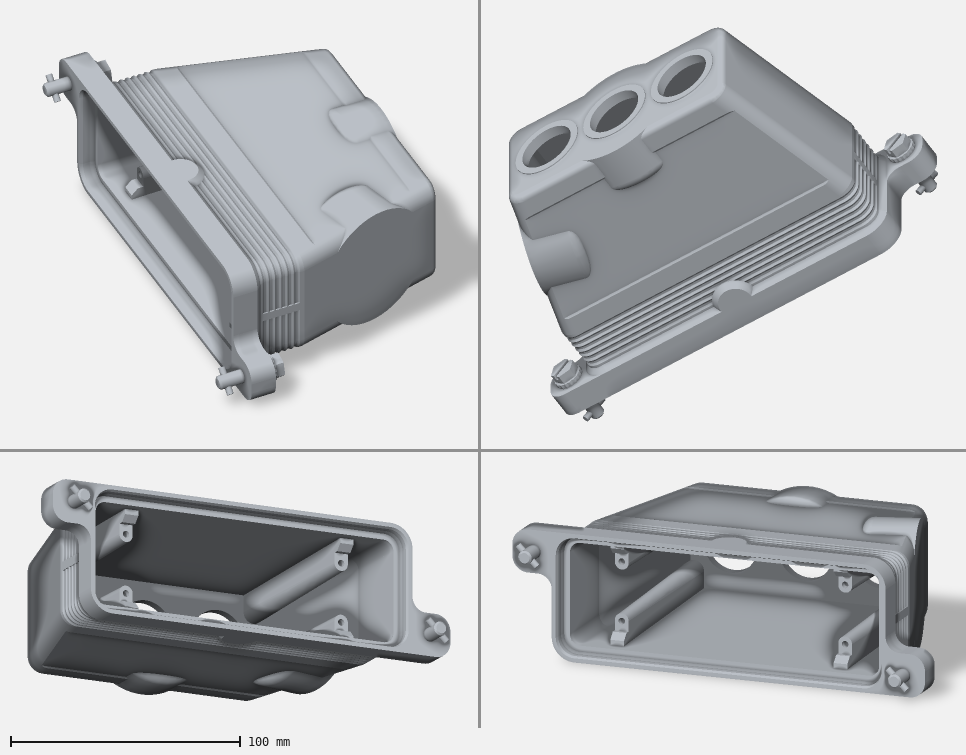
import cadquery as cq
import math


flange_half_x = 77.9
flange_half_z = 29.0
flange_corner_r = 10.5
flange_depth = 11.7
ear_tip_x = 96.25
ear_height = 19.5
ear_corner_r = 7.2
ear_inner_r = 6.5

body_step = 2.6
body_half_x = flange_half_x - body_step
body_half_z = flange_half_z - body_step
body_corner_r = 7.3
body_start_y = flange_depth + body_step
shoulder_y = 35.6
back_y = 109.35
end_wall_angle = 15.0
end_wall_slope = math.tan(math.radians(end_wall_angle))
back_half_x = body_half_x - (back_y - shoulder_y) * end_wall_slope
back_edge_r = 3.0

panel_depth = 0.6
panel_start_y = 43.0
panel_end_y = 98.3
panel_edge_run = 1.0

groove_count = 6
groove_pitch = 3.03
groove_first_y = 16.9
groove_mouth = 2.9
groove_floor = 1.0
groove_depth = 0.7
end_web_half_z = 2.0

mouth_inset = 1.9
throat_inset = 2.5
seat_inset = 3.1
cavity_inset = 5.8
mouth_taper_y = 1.6
throat_end_y = 4.8
seat_y = 7.1
cavity_half_x = flange_half_x - cavity_inset
cavity_half_z = flange_half_z - cavity_inset
cavity_corner_r = flange_corner_r - cavity_inset
cavity_shoulder_y = 38.8
cavity_shoulder_half_x = 70.7
cavity_back_y = 105.0
cavity_back_half_x = 53.7
cavity_back_half_z = 20.7
gasket_thickness = 4.0
gasket_root_inset = 4.8

entry_d = 25.0
entry_pitch = 35.0
entry_count = 3
entry_pad_r = 16.0
entry_pad_height = 0.5
entry_boss_r = flange_half_z
entry_boss_depth = 22.5
entry_boss_edge_r = 5.0
side_boss_y = 74.9
side_boss_depth = 25.0

nose_y = 12.3
nose_r = 7.7

lug_x = 52.1
lug_face_y = 17.9
lug_center_z = 13.1
lug_half_width = 3.2
lug_draft_angle = 1.0
lug_hole_z = 13.4
lug_hole_d = 3.0
lug_hole_depth = 10.0
toe_root_z = 17.8
toe_knee_z = 17.8
toe_tip_z = 20.7
toe_knee_y = 15.3
toe_tip_y = 12.3

screw_x = 86.2
screw_z = flange_half_z - ear_height / 2
shank_d = 6.3
shank_tip_y = -11.6
shank_tip_chamfer = 0.8
cross_pin_d = 3.0
cross_pin_length = 12.5
cross_pin_y = -7.6
cross_pin_angle = 135.0
washer_r = 6.7
washer_height = 2.3
tooth_count = 18
tooth_depth = 0.4
head_across_corners = 11.75
head_height = 4.3
head_turn = 45.0
slot_width = 1.8
slot_depth = 2.1

beyond = 10.0


def xz_plane(y):
    """Workplane at depth y whose local axes are X and Z; extruding goes toward -Y."""
    return cq.Workplane("XZ", origin=(0, y, 0))


def rounded_block(y_start, y_end, half_x, half_z, radius):
    """Prism with a rounded rectangular section between two depths."""
    block = xz_plane(y_end).rect(2 * half_x, 2 * half_z).extrude(y_end - y_start)
    return block.edges("|Y").fillet(radius)


def rounded_wire(y, half_x, half_z, radius):
    """Rounded rectangle lying in the plane at depth y."""
    return rounded_block(y - 1, y, half_x, half_z, radius).faces(">Y").wires().val()


def tapered_block(*sections):
    """Straight-sided block through rounded rectangles given as (y, half_x, half_z, radius)."""
    wires = [rounded_wire(*section) for section in sections]
    return cq.Workplane(cq.Solid.makeLoft(wires, True))


def flange_section(y, inset):
    """Section parallel to the flange edge, for tapered_block."""
    return y, flange_half_x - inset, flange_half_z - inset, flange_corner_r - inset


def y_cylinder(x, z, y_start, y_end, radius):
    return xz_plane(y_end).center(x, z).circle(radius).extrude(y_end - y_start)


def make_flange():
    """Rounded frame with two diagonally opposite ears, plus its 45 degree rear slope."""
    plate = rounded_block(0, flange_depth, flange_half_x, flange_half_z, flange_corner_r)
    ear_edge_z = flange_half_z - ear_height
    for turn in (0, 180):
        ear = (
            xz_plane(flange_depth)
            .moveTo(0, flange_half_z)
            .lineTo(-ear_tip_x, flange_half_z)
            .lineTo(-ear_tip_x, ear_edge_z)
            .lineTo(-flange_half_x, ear_edge_z)
            .lineTo(-flange_half_x, 0)
            .lineTo(0, 0)
            .close()
            .extrude(flange_depth)
        )
        ear = ear.edges("|Y and <X").fillet(ear_corner_r)
        inner_corner = cq.selectors.NearestToPointSelector((-flange_half_x, flange_depth / 2, ear_edge_z))
        ear = ear.edges(inner_corner).fillet(ear_inner_r)
        plate = plate.union(ear.rotate((0, 0, 0), (0, 1, 0), turn))
    slope = tapered_block(
        flange_section(flange_depth, 0),
        flange_section(body_start_y, body_step),
    )
    return plate.union(slope)


def hood_prism(outline, half_z):
    """Prism symmetric about X = 0 and Z = 0 from its (half_x, y) points, front to back."""
    points = outline + [(-x, y) for x, y in reversed(outline)]
    return cq.Workplane().polyline(points).close().extrude(half_z, both=True)


def round_long_edges(block, radius):
    """Round the edges between the broad faces and the end walls."""
    return block.edges("not (|X or |Z)").fillet(radius)


def make_shell():
    """Outer shell: straight at the grip, then narrowing along X to the back."""
    outline = [
        (body_half_x, flange_depth),
        (body_half_x, shoulder_y),
        (back_half_x, back_y),
    ]
    shell = round_long_edges(hood_prism(outline, body_half_z), body_corner_r)
    return shell.faces(">Y").edges().fillet(back_edge_r)


def make_panel_cut(side):
    """Shallow panel with sloping ends, cut right across one broad face (side is +1 or -1)."""
    floor_z = side * (body_half_z - panel_depth)
    top_z = side * body_half_z
    profile = [
        (panel_start_y, top_z),
        (panel_start_y + panel_edge_run, floor_z),
        (panel_end_y - panel_edge_run, floor_z),
        (panel_end_y, top_z),
    ]
    return cq.Workplane("YZ").polyline(profile).close().extrude(body_half_x, both=True)


def make_groove(y):
    """V-flanked ring around the shell, interrupted by the web on each end wall."""
    half_mouth = groove_mouth / 2
    half_floor = groove_floor / 2
    floor = (body_half_x - groove_depth, body_half_z - groove_depth, body_corner_r - groove_depth)
    crest = (body_half_x, body_half_z, body_corner_r)
    ring = rounded_block(y - half_mouth, y + half_mouth, flange_half_x, flange_half_z, flange_corner_r)
    core = tapered_block(
        (y - half_mouth, *crest),
        (y - half_floor, *floor),
        (y + half_floor, *floor),
        (y + half_mouth, *crest),
    )
    web = cq.Workplane().box(2 * ear_tip_x, groove_pitch, 2 * end_web_half_z).translate((0, y, 0))
    return ring.cut(core).cut(web)


def make_entry_boss():
    """Round boss for the middle cable entry, swelling out of both broad faces."""
    inner_y = back_y - entry_boss_depth
    boss = y_cylinder(0, 0, inner_y, back_y, entry_boss_r)
    return boss.faces("<Y").edges().fillet(entry_boss_edge_r)


def make_side_boss():
    """Same boss standing square to the +X end wall and flush with it."""
    wall_x = body_half_x - (side_boss_y - shoulder_y) * end_wall_slope
    boss = cq.Workplane("YZ").circle(entry_boss_r).extrude(-side_boss_depth)
    boss = boss.faces("<X").edges().fillet(entry_boss_edge_r)
    return boss.rotate((0, 0, 0), (0, 0, 1), end_wall_angle).translate((wall_x, side_boss_y, 0))


def make_entry_pads():
    """Low round pads around the cable entries on the back face."""
    pads = cq.Workplane()
    for x in entry_positions():
        pads = pads.add(y_cylinder(x, 0, back_y - 1, back_y + entry_pad_height, entry_pad_r))
    return pads.combine()


def entry_positions():
    return [entry_pitch * (i - (entry_count - 1) / 2) for i in range(entry_count)]


def make_nose():
    """Cone-based round nose reaching from one broad face to the other."""
    half = cq.Workplane().circle(nose_r).extrude(flange_half_z)
    cone = cq.Solid.makeCone(nose_r + body_step, nose_r, body_step, cq.Vector(0, 0, body_half_z))
    half = half.union(cq.Workplane(cone))
    return half.union(half.mirror("XY")).translate((0, nose_y, 0))


def make_cavity():
    """Stepped and flared opening followed by the drafted interior."""
    opening = tapered_block(
        flange_section(0, mouth_inset),
        flange_section(mouth_taper_y, throat_inset),
        flange_section(throat_end_y, throat_inset),
        flange_section(seat_y, seat_inset),
    )
    outline = [
        (cavity_half_x, seat_y),
        (cavity_shoulder_half_x, cavity_shoulder_y),
        (cavity_back_half_x, cavity_back_y),
    ]
    draft_profile = [
        (seat_y, cavity_half_z),
        (cavity_back_y, cavity_back_half_z),
        (cavity_back_y, -cavity_back_half_z),
        (seat_y, -cavity_half_z),
    ]
    drafted = cq.Workplane("YZ").polyline(draft_profile).close().extrude(cavity_half_x, both=True)
    interior = hood_prism(outline, cavity_half_z).intersect(drafted)
    interior = round_long_edges(interior, cavity_corner_r)
    return opening.union(interior)


def make_gasket():
    """Ring filling a groove in the seat; its inner flank leans outward with depth."""
    end_y = seat_y + gasket_thickness
    ring = rounded_block(
        seat_y,
        end_y,
        flange_half_x - seat_inset,
        flange_half_z - seat_inset,
        flange_corner_r - seat_inset,
    )
    core = tapered_block(
        flange_section(seat_y, cavity_inset),
        flange_section(end_y, gasket_root_inset),
    )
    return ring.cut(core)


def make_lug():
    """Drafted half-round rib running to the back wall, with a sloping toe and a screw hole."""
    rib_length = cavity_back_y + 1 - lug_face_y
    root_z = -body_half_z
    rib = (
        cq.Workplane("XZ", origin=(0, lug_face_y, 0))
        .moveTo(-lug_half_width, root_z)
        .lineTo(lug_half_width, root_z)
        .lineTo(lug_half_width, -lug_center_z)
        .threePointArc((0, lug_half_width - lug_center_z), (-lug_half_width, -lug_center_z))
        .close()
        .extrude(-rib_length, taper=-lug_draft_angle)
    )
    toe_profile = [
        (lug_face_y, root_z),
        (toe_tip_y, root_z),
        (toe_tip_y, -toe_tip_z),
        (toe_knee_y, -toe_knee_z),
        (lug_face_y, -toe_root_z),
    ]
    toe = cq.Workplane("YZ").polyline(toe_profile).close().extrude(lug_half_width, both=True)
    hole = y_cylinder(0, -lug_hole_z, lug_face_y, lug_face_y + lug_hole_depth, lug_hole_d / 2)
    return rib.union(toe).cut(hole)


def make_housing(gasket):
    body = make_shell()
    for side in (1, -1):
        body = body.cut(make_panel_cut(side))
    for i in range(groove_count):
        body = body.cut(make_groove(groove_first_y + i * groove_pitch))
    body = body.union(make_flange()).union(make_nose())
    body = body.union(make_entry_boss()).union(make_side_boss()).union(make_entry_pads())
    cavity = make_cavity()
    body = body.cut(cavity).cut(gasket)

    lug_space = body.union(cavity)
    lug = make_lug()
    for x in (-lug_x, lug_x):
        for flip in (0, 180):
            placed = lug.rotate((0, 0, 0), (0, 1, 0), flip).translate((x, 0, 0))
            body = body.union(placed.intersect(lug_space))

    for x in entry_positions():
        body = body.cut(y_cylinder(x, 0, cavity_back_y - beyond, back_y + beyond, entry_d / 2))
    for side in (1, -1):
        body = body.cut(y_cylinder(-side * screw_x, side * screw_z, 0, flange_depth, shank_d / 2))
    return body


def make_washer():
    """Serrated collar under the screw head."""
    outline = []
    for i in range(2 * tooth_count):
        radius = washer_r - tooth_depth * (i % 2)
        angle = math.pi * i / tooth_count
        outline.append((radius * math.cos(angle), radius * math.sin(angle)))
    return xz_plane(flange_depth).polyline(outline).close().extrude(-washer_height)


def make_screw():
    """Quarter-turn screw on the Y axis: slotted hex head, serrated collar, shank and cross pin."""
    shank = y_cylinder(0, 0, shank_tip_y, flange_depth, shank_d / 2)
    shank = shank.faces("<Y").chamfer(shank_tip_chamfer)
    head_y = flange_depth + washer_height
    head_end_y = head_y + head_height
    head = xz_plane(head_y).transformed(rotate=(0, 0, head_turn)).polygon(6, head_across_corners)
    head = head.extrude(-head_height)
    slot = cq.Workplane().box(2 * washer_r, 2 * slot_depth, slot_width).translate((0, head_end_y, 0))
    pin = cq.Workplane("YZ").circle(cross_pin_d / 2).extrude(cross_pin_length / 2, both=True)
    pin = pin.translate((0, cross_pin_y, 0))
    slot = slot.rotate((0, 0, 0), (0, 1, 0), -cross_pin_angle)
    pin = pin.rotate((0, 0, 0), (0, 1, 0), -cross_pin_angle)
    return shank.union(make_washer()).union(head.cut(slot)).union(pin)


gasket = make_gasket()
housing = make_housing(gasket)
screws = cq.Workplane()
for side in (1, -1):
    screws = screws.add(make_screw().translate((-side * screw_x, 0, side * screw_z)))

result = cq.Compound.makeCompound([housing.val(), gasket.val(), *screws.vals()])